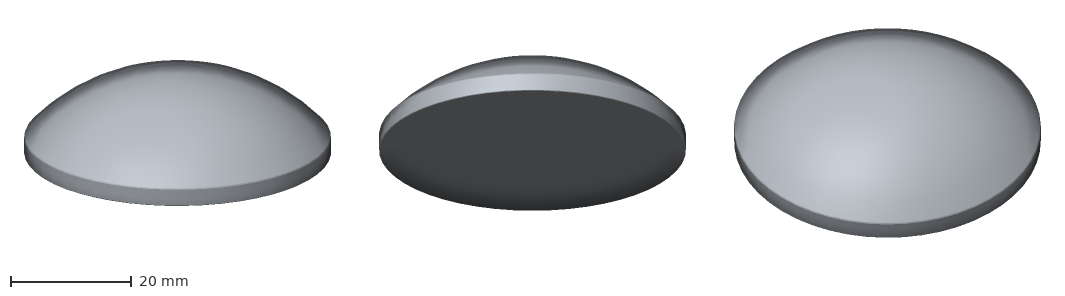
import cadquery as cq
import math

diameter = 50.8
centre_thickness = 14.15
edge_thickness = 3.0
bevel = 0.1

radius = diameter / 2
sag = centre_thickness - edge_thickness
dome_radius = (radius**2 + sag**2) / (2 * sag)
dome_centre_z = centre_thickness - dome_radius
bevelled_radius = radius - bevel


def dome_height(distance_from_axis):
    """Height of the spherical convex face at a distance from the optical axis."""
    return dome_centre_z + math.sqrt(dome_radius**2 - distance_from_axis**2)


def make_half_section():
    """Lens section on the -X side of the optical axis, in the XZ plane."""
    arc_middle = bevelled_radius / 2
    return (
        cq.Workplane("XZ")
        .moveTo(0, 0)
        .lineTo(-bevelled_radius, 0)
        .lineTo(-radius, bevel)
        .lineTo(-radius, edge_thickness - bevel)
        .lineTo(-bevelled_radius, dome_height(bevelled_radius))
        .threePointArc((-arc_middle, dome_height(arc_middle)), (0, centre_thickness))
        .close()
    )


result = make_half_section().revolve(360, (0, 0, 0), (0, 1, 0))